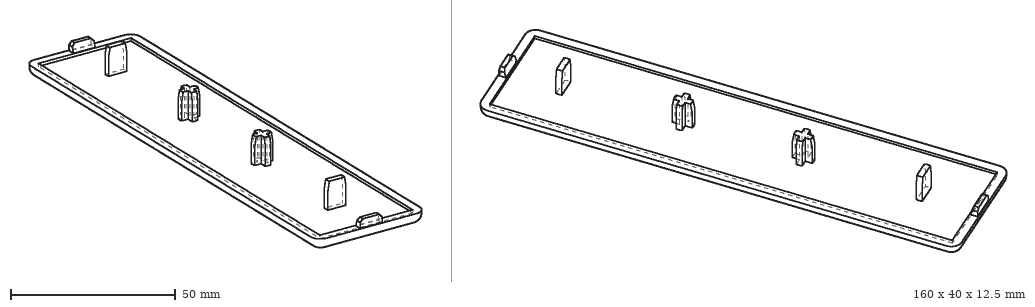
import cadquery as cq

length = 160.0
width = 40.0
plate_height = 4.0
corner_radius = 3.5
bottom_edge_radius = 3.0

rim_width = 3.0
recess_depth = 1.0
floor_z = plate_height - recess_depth

overall_height = 12.5
post_height = overall_height - floor_z
post_radius = 3.45
post_taper_height = 3.0
post_taper_inset = 0.5
arm_thickness = 2.0
blade_offset = 60.0
cross_offset = 20.0

clip_height = 3.0
clip_width = 8.0
clip_base_thickness = 2.4
clip_inner_slope_inset = 0.8
clip_end_bevel = 1.0
clip_setback = (rim_width - clip_base_thickness) / 2


def make_plate():
    """Plate with rounded corners, a rounded bottom edge and a recessed top."""
    plate = (
        cq.Workplane("XY")
        .rect(length, width)
        .extrude(plate_height)
        .edges("|Z")
        .fillet(corner_radius)
        .faces("<Z")
        .edges()
        .fillet(bottom_edge_radius)
    )
    recess = (
        cq.Workplane("XY")
        .workplane(offset=floor_z)
        .rect(length - 2 * rim_width, width - 2 * rim_width)
        .extrude(recess_depth)
    )
    return plate.cut(recess)


def make_post_envelope():
    """Round envelope of a post: a cylinder that narrows as a slim cone near the top."""
    return (
        cq.Workplane("XZ")
        .polyline([
            (0, 0),
            (post_radius, 0),
            (post_radius, post_height - post_taper_height),
            (post_radius - post_taper_inset, post_height),
            (0, post_height),
        ])
        .close()
        .revolve(360, (0, 0, 0), (0, 1, 0))
    )


def make_arm(size_x, size_y):
    """Upright bar as tall as a post, centred on the origin in plan."""
    return cq.Workplane("XY").rect(size_x, size_y).extrude(post_height)


def make_clip():
    """Clip at the -X end: vertical outer face, sloped inner face, bevelled ends."""
    half_width = clip_width / 2
    half_top = half_width - clip_end_bevel
    bevel_start = clip_height - clip_end_bevel
    end_outline = (
        cq.Workplane("YZ")
        .polyline([
            (-half_width, 0),
            (half_width, 0),
            (half_width, bevel_start),
            (half_top, clip_height),
            (-half_top, clip_height),
            (-half_width, bevel_start),
        ])
        .close()
        .extrude(clip_base_thickness)
    )
    side_outline = (
        cq.Workplane("XZ")
        .polyline([
            (0, 0),
            (clip_base_thickness, 0),
            (clip_base_thickness - clip_inner_slope_inset, clip_height),
            (0, clip_height),
        ])
        .close()
        .extrude(half_width, both=True)
    )
    clip = end_outline.intersect(side_outline)
    return clip.translate((clip_setback - length / 2, 0, plate_height))


post_diameter = 2 * post_radius
envelope = make_post_envelope()
lengthwise_arm = make_arm(post_diameter, arm_thickness)
crosswise_arm = make_arm(arm_thickness, post_diameter)
blade = crosswise_arm.intersect(envelope)
cross = crosswise_arm.union(lengthwise_arm).intersect(envelope)

result = make_plate()
for side in (-1, 1):
    result = result.union(blade.translate((side * blade_offset, 0, floor_z)))
    result = result.union(cross.translate((side * cross_offset, 0, floor_z)))

left_clip = make_clip()
right_clip = left_clip.mirror("YZ")
result = result.union(left_clip).union(right_clip)